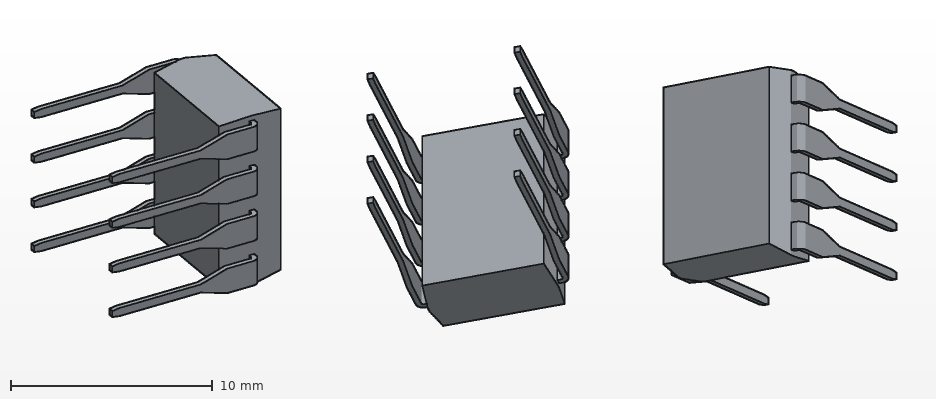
import cadquery as cq


leads_per_row = 4
lead_pitch = 2.54
row_spacing = 7.62
lead_thickness = 0.29
inner_bend_radius = 0.11
shoulder_width = 1.4
leg_width = 0.47
tip_width = 0.35
leg_start = 3.43
tip_length = 0.4

housing_width = 6.73
housing_height = 9.59
back_depth = 1.65
front_depth = 1.62
taper_inset = 0.21
belt_depth = lead_thickness
overall_depth = 10.16

lead_depth = overall_depth - back_depth
shoulder_end = belt_depth + front_depth
tip_start = lead_depth - tip_length
outer_bend_radius = inner_bend_radius + lead_thickness
lead_outer_x = (row_spacing + lead_thickness) / 2
lead_inner_x = lead_outer_x - lead_thickness
lead_root_x = housing_width / 2


def tapered_half(start_y, end_y):
    """Half of the housing, shrinking from the belt at start_y to its flat face at end_y."""
    return (
        cq.Workplane("XZ", origin=(0, start_y, 0))
        .rect(housing_width, housing_height)
        .workplane(offset=start_y - end_y)
        .rect(housing_width - 2 * taper_inset, housing_height - 2 * taper_inset)
        .loft(ruled=True)
    )


def make_housing():
    """Straight-sided belt between two tapered halves."""
    belt = cq.Workplane("XZ").rect(housing_width, housing_height).extrude(belt_depth)
    back = tapered_half(0, back_depth)
    front = tapered_half(-belt_depth, -shoulder_end)
    return belt.union(back).union(front).solids()


def bent_strip():
    """Full-width right-hand lead strip: out of the belt, round the bend and down to the tip."""
    return (
        cq.Workplane("XY")
        .moveTo(lead_root_x, 0)
        .lineTo(lead_outer_x - outer_bend_radius, 0)
        .radiusArc((lead_outer_x, -outer_bend_radius), outer_bend_radius)
        .lineTo(lead_outer_x, -lead_depth)
        .lineTo(lead_inner_x, -lead_depth)
        .lineTo(lead_inner_x, -outer_bend_radius)
        .radiusArc((lead_inner_x - inner_bend_radius, -lead_thickness), -inner_bend_radius)
        .lineTo(lead_root_x, -lead_thickness)
        .close()
        .extrude(shoulder_width / 2, both=True)
    )


def lead_face_profile():
    """Lead silhouette in the YZ plane: wide shoulder, tapering neck, narrow leg, slimmer tip."""
    lower_edge = [
        (0, -shoulder_width / 2),
        (-shoulder_end, -shoulder_width / 2),
        (-leg_start, -leg_width / 2),
        (-tip_start, -leg_width / 2),
        (-lead_depth, -tip_width / 2),
    ]
    upper_edge = [(y, -z) for y, z in reversed(lower_edge)]
    return cq.Workplane("YZ").polyline(lower_edge + upper_edge).close().extrude(lead_outer_x)


def make_lead(side, z):
    """One lead at height z; side is +1 for the +X row and -1 for the -X row."""
    lead = bent_strip().intersect(lead_face_profile())
    if side < 0:
        lead = lead.mirror("YZ")
    return lead.translate((0, 0, z)).solids()


housing = make_housing()

leads = []
for side in (-1, 1):
    for index in range(leads_per_row):
        lead_z = (index - (leads_per_row - 1) / 2) * lead_pitch
        leads.append(make_lead(side, lead_z))

result = cq.Compound.makeCompound([housing.val(), *[lead.val() for lead in leads]])